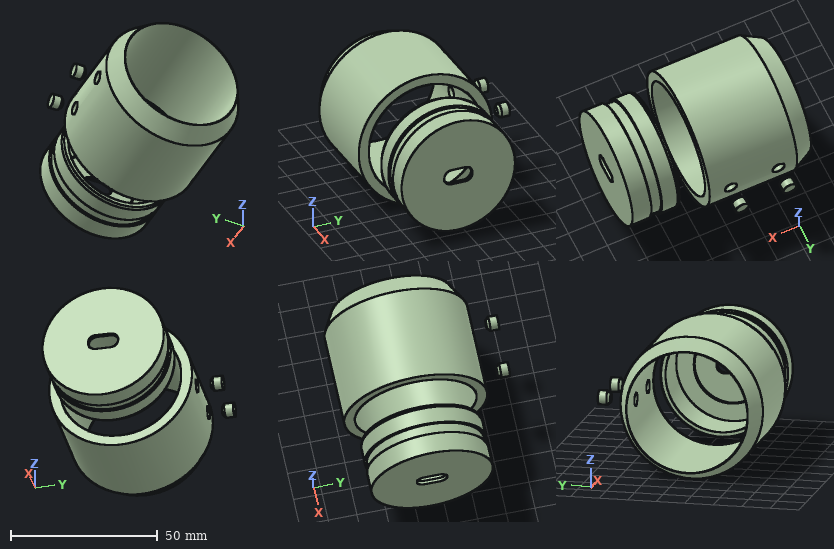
import cadquery as cq
import math

total_length = 67.4

sleeve_length = 40.0
sleeve_radius = 25.0
sleeve_taper_length = 7.0
sleeve_taper_depth = 3.65
bore_radius = 21.2

cap_length = 18.05
cap_radius = 21.2
cap_start = total_length - cap_length
chamfer_length = 1.0
chamfer_depth = 0.5
groove_offset = 6.95
groove_width = 4.0
groove_depth = 0.8
recess_radius = 19.2
recess_depth = 16.0
step_radius = 13.1
step_floor_radius = 12.95
step_depth = 0.8
slot_length = 10.6
slot_width = 5.5

screw_radius = 2.5
screw_length = 4.1
screw_chamfer = 1.1
screw_top = 34.0
screw_positions = (14.0, 32.0)
screw_hole_radius = 2.2


def axial_cylinder(start, length, radius):
    """Solid cylinder along X."""
    return cq.Workplane("YZ", origin=(start, 0, 0)).circle(radius).extrude(length)


def radial_cylinder(x, top, length, radius):
    """Solid cylinder that runs from Y = top toward the X axis."""
    return cq.Workplane("XZ", origin=(x, top, 0)).circle(radius).extrude(length)


def make_sleeve():
    """Tube with a tapered front end and two radial screw holes."""
    half_section = (
        cq.Workplane("XY")
        .moveTo(0, bore_radius)
        .lineTo(0, sleeve_radius - sleeve_taper_depth)
        .lineTo(sleeve_taper_length, sleeve_radius)
        .lineTo(sleeve_length, sleeve_radius)
        .lineTo(sleeve_length, bore_radius)
        .close()
    )
    sleeve = half_section.revolve(360, (0, 0, 0), (1, 0, 0))
    for x in screw_positions:
        sleeve = sleeve.cut(radial_cylinder(x, sleeve_radius, sleeve_radius, screw_hole_radius))
    return sleeve


def make_cap():
    """Grooved cup, open toward the sleeve, with a slot through its floor, which has a shallow tapered step."""
    groove_start = cap_start + groove_offset
    groove_end = groove_start + groove_width
    groove_radius = cap_radius - groove_depth
    half_section = (
        cq.Workplane("XY")
        .moveTo(cap_start, 0)
        .lineTo(cap_start, cap_radius - chamfer_depth)
        .lineTo(cap_start + chamfer_length, cap_radius)
        .lineTo(groove_start, cap_radius)
        .lineTo(groove_start, groove_radius)
        .lineTo(groove_end, groove_radius)
        .lineTo(groove_end, cap_radius)
        .lineTo(total_length, cap_radius)
        .lineTo(total_length, 0)
        .close()
    )
    cap = half_section.revolve(360, (0, 0, 0), (1, 0, 0))
    recess = axial_cylinder(cap_start, recess_depth, recess_radius)
    step_taper = math.degrees(math.atan((step_radius - step_floor_radius) / step_depth))
    step = (
        cq.Workplane("YZ", origin=(cap_start + recess_depth, 0, 0))
        .circle(step_radius)
        .extrude(step_depth, taper=step_taper)
    )
    slot = (
        cq.Workplane("YZ", origin=(cap_start, 0, 0))
        .slot2D(slot_length, slot_width)
        .extrude(cap_length)
    )
    return cap.cut(recess).cut(step).cut(slot)


def make_screw(x):
    """Headless set screw with a chamfered tip that points at the sleeve."""
    screw = radial_cylinder(x, screw_top, screw_length, screw_radius)
    return screw.faces("<Y").chamfer(screw_chamfer)


sleeve = make_sleeve()
cap = make_cap()
screws = [make_screw(x).val() for x in screw_positions]

result = cq.Compound.makeCompound([sleeve.val(), cap.val(), *screws])